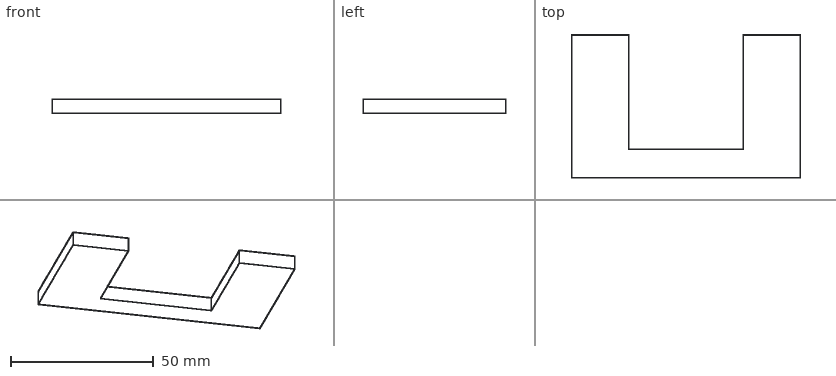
import cadquery as cq

length = 80.0
width = 50.0
thickness = 5.0

arm_width = length / 4
bridge_width = arm_width / 2
slot_length = length - 2 * arm_width
slot_depth = width - bridge_width

plate = cq.Workplane("XY").box(length, width, thickness)

slot = (
    cq.Workplane("XY")
    .box(slot_length, slot_depth, thickness)
    .translate((0, bridge_width / 2, 0))
)

result = plate.cut(slot)